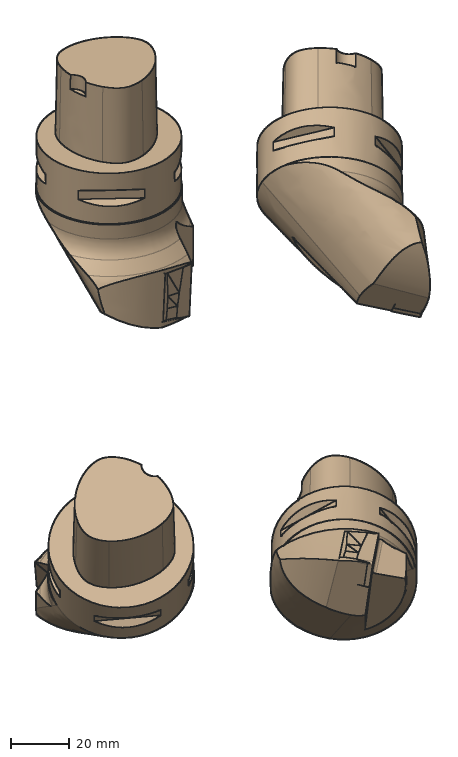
import cadquery as cq
import math


FLANGE_RADIUS = 25.0
FLANGE_HEIGHT = 20.3
SLOT_COUNT = 4
SLOT_LENGTH = 22.95
SLOT_FLOOR_HEIGHT = 3.5
SLOT_MOUTH_HEIGHT = 6.5
SLOT_CENTRE_Z = -10.1
SLOT_FLOOR_DISTANCE = math.sqrt(FLANGE_RADIUS**2 - (SLOT_LENGTH / 2) ** 2)

SHANK_HEIGHT = 30.0
SHANK_BASE_RADIUS = 17.55
SHANK_TOP_RADIUS = 17.0
SHANK_ECCENTRICITY = 1.2
SHANK_FLAT_HALF_ANGLE = 24
LOBE_ANGLE = 90
LOBE_SPACING = 120
POINTS_PER_SPLINE = 9

KEYWAY_RADIUS = 4.5
KEYWAY_CENTRE_Y = -18.4
KEYWAY_DEPTH = 5.7

NECK_RADIUS = 25.3
NECK_BEVEL = NECK_RADIUS - FLANGE_RADIUS
NECK_END_Z = -26.2
FLARE_FILLET = 9.5
FLARE_ANGLE = 45
SHOULDER_START_RADIUS = 32.2
SHOULDER_ROUNDING = 15.3
HEAD_LIMIT_Z = -63

UNDERSIDE_SLOPE = 0.95
FRONT_HALF_WIDTH = 28.1
FRONT_NOSE_LENGTH = 26.1
REAR_SHRINK = 0.27
HEAD_DROP = -HEAD_LIMIT_Z - FLANGE_HEIGHT

RELIEF_TOP_Z = -36
RELIEF_TOP_ARC = [(33.5, 7.2), (30.4, -11.7), (17.1, -30.6)]
RELIEF_BOTTOM_ARC = [(34.4, 7.2), (32.9, -11.7), (23.85, -30.6)]

FLOOR_Z = -58.0
FLOOR_SLOPE = 0.05
FLOOR_ARC = [(-9, FLOOR_Z), (-18.45, -54.7), (-30.6, -45.9)]

RAKE_Y = 12.3
RAKE_X_SLOPE = 0.08
RAKE_Z_SLOPE = 0.11
POCKET_WALL_X = 24.1
POCKET_EDGE_Z = -49.9
POCKET_ROOF_SLOPE = 0.47
POCKET_FILLET = 1.35

TIP_X = 35.1
TIP_Z = -60.0
INSERT_WIDTH = 10.8
INSERT_HEIGHT = 20.25
INSERT_EDGE_RISE = 0.5
INSERT_SIDE_LEAN = 1.2
INSERT_THICKNESS = 11.7
INSERT_CLEARANCE = 4
INSERT_NOSE_RADIUS = 0.8

MARGIN = 54


def lobe_point(radius, degrees):
    """Point of the constant-width three-lobed outline with the given outward normal."""
    t = math.radians(degrees)
    phase = 3 * math.radians(degrees - LOBE_ANGLE)
    reach = radius + SHANK_ECCENTRICITY * math.cos(phase)
    shift = -3 * SHANK_ECCENTRICITY * math.sin(phase)
    x = reach * math.cos(t) - shift * math.sin(t)
    y = reach * math.sin(t) + shift * math.cos(t)
    return x, y


def lobe_wire(radius, z):
    """Closed outline of alternating flat and lobe stretches."""
    half_lobe = LOBE_SPACING / 2 - SHANK_FLAT_HALF_ANGLE
    edges = []
    for lobe in range(3):
        centre = LOBE_ANGLE + lobe * LOBE_SPACING
        breaks = [centre - half_lobe, centre + half_lobe, centre - half_lobe + LOBE_SPACING]
        for start, end in zip(breaks, breaks[1:]):
            step = (end - start) / (POINTS_PER_SPLINE - 1)
            angles = [start + i * step for i in range(POINTS_PER_SPLINE)]
            points = [cq.Vector(*lobe_point(radius, a), z) for a in angles]
            edges.append(cq.Edge.makeSpline(points))
    return cq.Wire.assembleEdges(edges)


def make_shank():
    base = lobe_wire(SHANK_BASE_RADIUS, 0)
    top = lobe_wire(SHANK_TOP_RADIUS, SHANK_HEIGHT)
    shank = cq.Workplane(cq.Solid.makeLoft([base, top], True))
    keyway = (
        cq.Workplane("XY", origin=(0, KEYWAY_CENTRE_Y, SHANK_HEIGHT - KEYWAY_DEPTH))
        .circle(KEYWAY_RADIUS)
        .extrude(KEYWAY_DEPTH)
    )
    return shank.cut(keyway)


def make_slot_cutter():
    """Wedge-sided bar that cuts one gripper slot on the +X side."""
    depth = FLANGE_RADIUS - SLOT_FLOOR_DISTANCE
    floor = SLOT_FLOOR_HEIGHT / 2
    mouth = SLOT_MOUTH_HEIGHT / 2
    return (
        cq.Workplane("XZ", origin=(SLOT_FLOOR_DISTANCE, 0, SLOT_CENTRE_Z))
        .polyline([(0, -floor), (depth, -mouth), (depth, mouth), (0, floor)])
        .close()
        .extrude(SLOT_LENGTH / 2, both=True)
    )


def make_flange():
    flange = cq.Workplane("XY").circle(FLANGE_RADIUS).extrude(-FLANGE_HEIGHT)
    cutter = make_slot_cutter()
    spacing = 360 / SLOT_COUNT
    for i in range(SLOT_COUNT):
        flange = flange.cut(cutter.rotate((0, 0, 0), (0, 0, 1), (i + 0.5) * spacing))
    return flange


def make_flared_neck():
    """Solid of revolution: bevel, cylinder, concave fillet, cone and rounded shoulder."""
    angle = math.radians(FLARE_ANGLE)
    centre_r = NECK_RADIUS + FLARE_FILLET

    def fillet_point(a):
        return centre_r - FLARE_FILLET * math.cos(a), NECK_END_Z - FLARE_FILLET * math.sin(a)

    cone_r, cone_z = fillet_point(angle)
    shoulder_z = cone_z - (SHOULDER_START_RADIUS - cone_r) / math.tan(angle)

    def shoulder_point(a):
        r = SHOULDER_START_RADIUS + SHOULDER_ROUNDING * (math.cos(a) - math.cos(angle))
        return r, shoulder_z - SHOULDER_ROUNDING * (math.sin(angle) - math.sin(a))

    rim = shoulder_point(0)
    return (
        cq.Workplane("XZ")
        .moveTo(0, -FLANGE_HEIGHT)
        .lineTo(FLANGE_RADIUS, -FLANGE_HEIGHT)
        .lineTo(NECK_RADIUS, -FLANGE_HEIGHT - NECK_BEVEL)
        .lineTo(NECK_RADIUS, NECK_END_Z)
        .threePointArc(fillet_point(angle / 2), (cone_r, cone_z))
        .lineTo(SHOULDER_START_RADIUS, shoulder_z)
        .threePointArc(shoulder_point(angle / 2), rim)
        .lineTo(rim[0], HEAD_LIMIT_Z)
        .lineTo(0, HEAD_LIMIT_Z)
        .close()
        .revolve(360, (0, 0), (0, 1))
    )


def make_slanted_front():
    """-Y half: an outline with a quarter-ellipse nose, carried along the slanted underside."""
    nose_x = -FLANGE_RADIUS
    outline = (
        cq.Workplane("XY", origin=(0, 0, -FLANGE_HEIGHT))
        .moveTo(nose_x, 0)
        .ellipseArc(FRONT_NOSE_LENGTH, FRONT_HALF_WIDTH, 180, 270)
        .lineTo(MARGIN, -FRONT_HALF_WIDTH)
        .lineTo(MARGIN, 0)
        .close()
        .val()
    )
    travel = cq.Vector(UNDERSIDE_SLOPE * HEAD_DROP, 0, -HEAD_DROP)
    return cq.Workplane(cq.Solid.extrudeLinear(outline, [], travel))


def make_slanted_rear():
    """+Y half: an oblique cone that narrows along the underside, continued by its vertical tangent plane."""
    end_radius = FLANGE_RADIUS - REAR_SHRINK * HEAD_DROP
    end_x = UNDERSIDE_SLOPE * HEAD_DROP - FLANGE_RADIUS + end_radius
    cone = (
        cq.Workplane("XY", origin=(0, 0, -FLANGE_HEIGHT))
        .circle(FLANGE_RADIUS)
        .workplane(offset=-HEAD_DROP)
        .center(end_x, 0)
        .circle(end_radius)
        .loft(ruled=True)
    )
    tangent_angle = math.acos((FLANGE_RADIUS - end_radius) / end_x)

    def tangent_wire(radius, centre_x, z):
        """Section bounded by the vertical plane that touches the cone."""
        far_y = (FLANGE_RADIUS - MARGIN * math.cos(tangent_angle)) / math.sin(tangent_angle)
        touch_x = centre_x + radius * math.cos(tangent_angle)
        touch_y = radius * math.sin(tangent_angle)
        outline = cq.Workplane("XY", origin=(0, 0, z)).polyline(
            [(centre_x, 0), (MARGIN, 0), (MARGIN, far_y), (touch_x, touch_y)]
        )
        return outline.close().val()

    start_wire = tangent_wire(FLANGE_RADIUS, 0, -FLANGE_HEIGHT)
    end_wire = tangent_wire(end_radius, end_x, HEAD_LIMIT_Z)
    wedge = cq.Workplane(cq.Solid.makeLoft([start_wire, end_wire], True))
    rear_half = cq.Workplane("XY").box(4 * MARGIN, MARGIN, 4 * MARGIN, centered=(True, False, True))
    return cone.intersect(rear_half).union(wedge)


def relief_wire(arc, z):
    start, middle, end = arc
    outline = (
        cq.Workplane("XY", origin=(0, 0, z))
        .moveTo(*start)
        .threePointArc(middle, end)
        .lineTo(-MARGIN, end[1])
        .lineTo(-MARGIN, MARGIN)
        .lineTo(start[0], MARGIN)
        .close()
    )
    return outline.val()


def make_outer_relief():
    """Space inside the curved outer flank, unbounded above the relief's upper level."""
    top = relief_wire(RELIEF_TOP_ARC, RELIEF_TOP_Z)
    bottom = relief_wire(RELIEF_BOTTOM_ARC, HEAD_LIMIT_Z)
    lower = cq.Workplane(cq.Solid.makeLoft([top, bottom], True))
    upper = (
        cq.Workplane("XY", origin=(0, 0, RELIEF_TOP_Z))
        .rect(2 * MARGIN, 2 * MARGIN)
        .extrude(-RELIEF_TOP_Z)
    )
    return lower.union(upper)


def make_space_above_floor():
    start, middle, end = FLOOR_ARC
    outline = (
        cq.Workplane("YZ")
        .moveTo(MARGIN, FLOOR_Z)
        .lineTo(*start)
        .threePointArc(middle, end)
        .lineTo(end[0], MARGIN)
        .lineTo(MARGIN, MARGIN)
        .close()
        .val()
    )
    length = 2 * MARGIN
    travel = cq.Vector(length, 0, -FLOOR_SLOPE * length)
    space = cq.Solid.extrudeLinear(outline, [], travel)
    return cq.Workplane(space).translate((-MARGIN, 0, FLOOR_SLOPE * MARGIN))


def rake_plane():
    """Plane on the rake face, origin at the insert tip, local Y pointing down."""
    tip_y = RAKE_Y - RAKE_X_SLOPE * TIP_X + RAKE_Z_SLOPE * TIP_Z
    return cq.Plane(
        origin=(TIP_X, tip_y, TIP_Z),
        xDir=(1, -RAKE_X_SLOPE, 0),
        normal=(RAKE_X_SLOPE, 1, -RAKE_Z_SLOPE),
    )


def make_chip_pocket():
    """Space behind the rake plane, beyond the pocket wall and below its sloping roof."""
    behind_rake = cq.Workplane(rake_plane()).rect(4 * MARGIN, 4 * MARGIN).extrude(MARGIN)
    roof_end_z = POCKET_EDGE_Z + POCKET_ROOF_SLOPE * (POCKET_WALL_X + MARGIN)
    beyond_wall = (
        cq.Workplane("XZ")
        .polyline(
            [
                (POCKET_WALL_X, -FLANGE_HEIGHT),
                (POCKET_WALL_X, POCKET_EDGE_Z),
                (-MARGIN, roof_end_z),
                (-MARGIN, -2 * MARGIN),
                (2 * MARGIN, -2 * MARGIN),
                (2 * MARGIN, -FLANGE_HEIGHT),
            ]
        )
        .close()
        .extrude(MARGIN, both=True)
    )
    pocket = beyond_wall.intersect(behind_rake)
    wall_corner = cq.selectors.BoxSelector(
        (POCKET_WALL_X - 0.9, 0, POCKET_EDGE_Z), (POCKET_WALL_X + 0.9, RAKE_Y, -FLANGE_HEIGHT)
    )
    return pocket.edges(wall_corner).fillet(POCKET_FILLET)


def make_insert():
    """Plate with its top on the rake plane and relieved side faces."""
    return (
        cq.Workplane(rake_plane())
        .polyline(
            [
                (0, 0),
                (-INSERT_WIDTH, -INSERT_EDGE_RISE),
                (-INSERT_WIDTH, -INSERT_HEIGHT),
                (-INSERT_SIDE_LEAN, -INSERT_HEIGHT),
            ]
        )
        .close()
        .extrude(-INSERT_THICKNESS, taper=INSERT_CLEARANCE)
        .edges(cq.selectors.NearestToPointSelector((TIP_X, 0, TIP_Z)))
        .fillet(INSERT_NOSE_RADIUS)
    )


def make_head():
    head = make_slanted_front().union(make_slanted_rear())
    head = head.intersect(make_flared_neck())
    head = head.intersect(make_outer_relief())
    head = head.intersect(make_space_above_floor())
    return head.cut(make_chip_pocket())


def make_holder(insert):
    """Shank, flange and head in one piece, with a seat that matches the insert."""
    return make_flange().union(make_shank()).union(make_head()).cut(insert)


insert = make_insert()
holder = make_holder(insert)
result = cq.Compound.makeCompound([holder.solids().val(), insert.solids().val()])